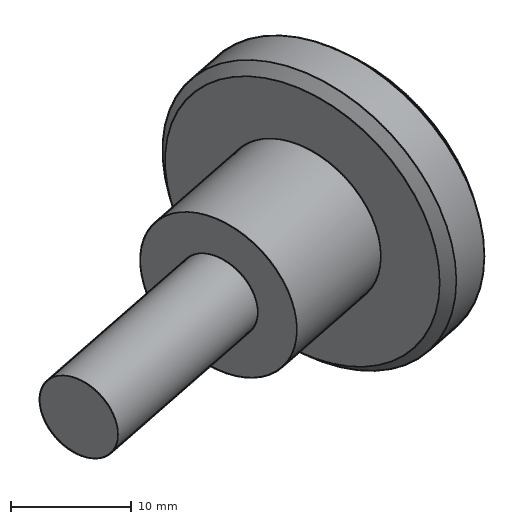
import cadquery as cq

total_length = 38.0
head_diameter = 30.0
head_thickness = 6.0
head_chamfer = 1.0
hub_diameter = 16.0
hub_length = 12.0
stud_diameter = 8.0
stud_length = total_length - head_thickness - hub_length


def cylinder_along_y(diameter, start, length):
    """Round bar running from y = start towards +Y."""
    plane = cq.Workplane("XZ", origin=(0, start, 0))
    return plane.circle(diameter / 2).extrude(-length)


stud = cylinder_along_y(stud_diameter, 0, stud_length)

hub = cylinder_along_y(hub_diameter, stud_length, hub_length)

head_start = stud_length + hub_length
head = cylinder_along_y(head_diameter, head_start, head_thickness)
head = head.faces("<Y or >Y").edges().chamfer(head_chamfer)

result = stud.union(hub).union(head)